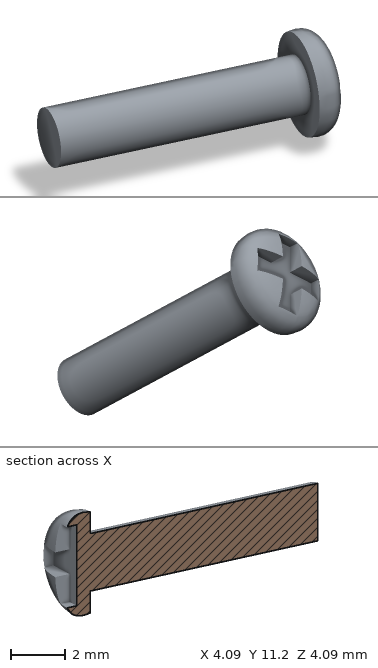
import cadquery as cq


shank_diameter = 2.28
shank_length = 10.0

head_base_radius = 2.0
head_apex_height = 1.255
rim_control_radius = 2.24
rim_control_height = 1.0
crown_control_radius = 1.45

recess_length = 3.16
recess_wing_width = 0.97
recess_floor_height = 0.6


def make_head():
    """Revolve the domed head profile about the Y axis."""
    dome_controls = [
        (head_base_radius, 0),
        (rim_control_radius, rim_control_height),
        (crown_control_radius, head_apex_height),
        (0, head_apex_height),
    ]
    return (
        cq.Workplane("XY")
        .lineTo(head_base_radius, 0)
        .bezier(dome_controls)
        .close()
        .revolve(360, (0, 0, 0), (0, 1, 0))
    )


def make_shank():
    """Plain cylinder running from the head underside towards -Y."""
    return cq.Workplane("XZ").circle(shank_diameter / 2).extrude(shank_length)


def make_cross_recess():
    """Two crossed bars, along X and Z, from the recess floor up to the apex."""
    recess_depth = head_apex_height - recess_floor_height
    wing = (
        cq.Workplane("XY")
        .box(recess_length, recess_depth, recess_wing_width, centered=(True, False, True))
        .translate((0, recess_floor_height, 0))
    )
    return wing.union(wing.rotate((0, 0, 0), (0, 1, 0), 90))


result = make_head().union(make_shank()).cut(make_cross_recess())